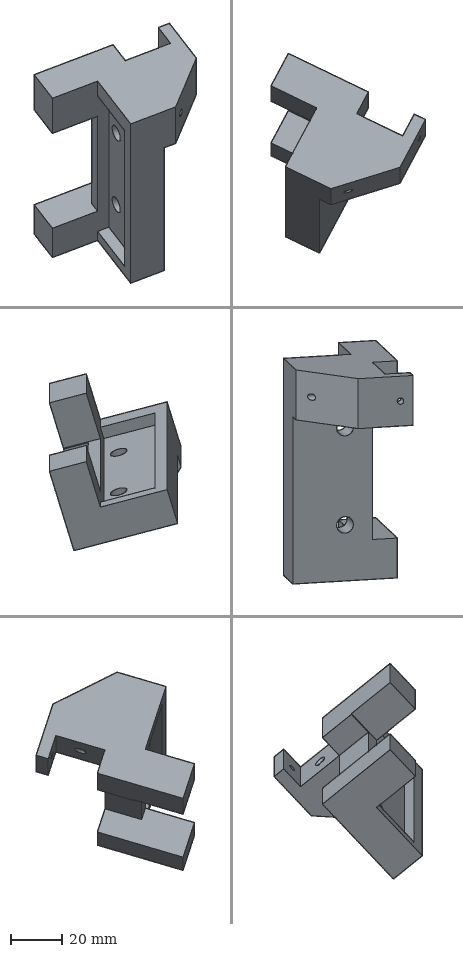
import cadquery as cq

width = 42.0
depth = 60.0
height = 87.0

plate_front = 20.0
plate_back = 35.0
pocket_depth = 5.0
pocket_bottom_wall = 5.0
pocket_top_wall = 8.0
pocket_side_wall = 5.0

arm_width = 15.0
upper_arm_height = 19.2
lower_arm_height = 16.0

head_height = 20.0
chamfer = 20.0
notch_depth = 10.0
ear_thickness = 5.0

mount_diameter = 6.6
mount_spacing = 39.0

pin_diameter = 2.5
countersink_diameter = 4.5
countersink_angle = 90

pocket_height = height - pocket_bottom_wall - pocket_top_wall
pocket_middle = pocket_bottom_wall + pocket_height / 2
ear_front = depth - ear_thickness
notch_middle = (plate_back + ear_front) / 2
head_middle = height - head_height / 2


def block(x0, x1, y0, y1, z0, z1):
    """Axis-aligned box between the given limits."""
    return cq.Workplane("XY").box(x1 - x0, y1 - y0, z1 - z0, centered=False).translate((x0, y0, z0))


def head():
    """Top block with a chamfered back corner and a notch behind the arm."""
    outline = [
        (0, plate_front),
        (width, plate_front),
        (width, depth - chamfer),
        (width - chamfer, depth),
        (0, depth),
        (0, ear_front),
        (notch_depth, ear_front),
        (notch_depth, plate_back),
        (0, plate_back),
    ]
    base = cq.Workplane("XY", origin=(0, 0, height - head_height))
    return base.polyline(outline).close().extrude(head_height)


body = block(notch_depth, width, plate_front, plate_back, 0, height).union(head())
body = body.union(block(0, arm_width, 0, plate_front, height - upper_arm_height, height))
body = body.union(block(0, arm_width, 0, plate_back, 0, lower_arm_height))

body = body.cut(
    block(
        arm_width,
        width - pocket_side_wall,
        plate_front,
        plate_front + pocket_depth,
        pocket_bottom_wall,
        height - pocket_top_wall,
    )
)

for offset in (-mount_spacing / 2, mount_spacing / 2):
    hole = (
        cq.Workplane("XZ", origin=(width / 2, plate_front, pocket_middle + offset))
        .circle(mount_diameter / 2)
        .extrude(plate_front - plate_back)
    )
    body = body.cut(hole)

pin_hole = (
    cq.Workplane("XZ", origin=(notch_depth / 2, ear_front, head_middle))
    .circle(pin_diameter / 2)
    .extrude(-ear_thickness)
)
body = body.cut(pin_hole)

cross_plane = cq.Plane(origin=(notch_depth, notch_middle, head_middle), xDir=(0, -1, 0), normal=(-1, 0, 0))
result = body.copyWorkplane(cq.Workplane(cross_plane)).cskHole(
    pin_diameter, countersink_diameter, countersink_angle, depth=width - notch_depth
)